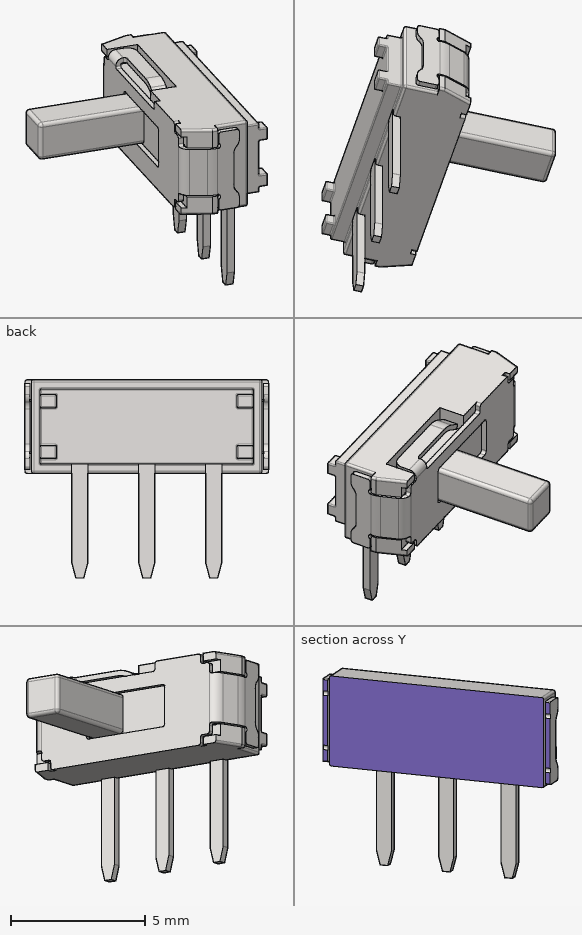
import cadquery as cq
import math


BODY_HEIGHT = 3.5
TOP = BODY_HEIGHT / 2
BODY_BACK = 2.615
SHOULDER_HALF = 4.55
SHOULDER_BACK = 1.31
SHOULDER_FRONT = 1.1
NOSE_HALF = 4.145
REAR_HALF = 4.3
BODY_FILLET = 0.09
BEYOND = 5.47
PLACE_TOLERANCE = 0.01

SHEET = 0.2
SHEET_FILLET = 0.1
FINGER_ROOT_FILLET = 0.07
PLATE_HALF = 3.85
EAR_HEIGHT = 0.3
EAR_START = 3.56
EAR_CLEARANCE = 0.08
PLATE_NOTCH_HALF = 3.44
PLATE_SHOULDER = TOP - EAR_HEIGHT - EAR_CLEARANCE
TOP_NOTCH_END = 1.35

STRAP_ANGLE = 19.5
STRAP_HALF = 0.95
STRAP_OUTER = 4.555
STRAP_FRONT_RADIUS = 0.44
STRAP_REAR_RADIUS = 1.12
STRAP_GAP = 0.055
WING_HALF = 1.6
WING_FRONT = 1.35
WING_RELIEF_DEPTH = 0.06
WING_RELIEF_LENGTH = 0.2
WING_BACK = 2.17
WING_WAIST_BACK = 1.95
WING_BEND_OUTER = 1.19
WING_BEND_INNER = 0.65

POCKET_END = 0.46
POCKET_BACK = 1.22
POCKET_DEPTH = 0.69
FINGER_ROOT_END = -2.65
FINGER_FRONT = 0.41
FINGER_BACK = 1.01
FINGER_TIP = 0.39
FINGER_BEND_START = -0.64
FINGER_BEND_RADIUS = 1.075
FINGER_BEND_ANGLE = 30.0
FINGER_CORNER_RADIUS = 0.4
FINGER_TIP_RADIUS = 0.055
FINGER_ROOT_RADIUS = 0.3
FINGER_NECK_RADIUS = 0.1

WINDOW_LENGTH = 3.6
WINDOW_HEIGHT = 1.62
WINDOW_FILLET = 0.12
LEVER_SIZE = 1.5
LEVER_CENTER = -1.0
LEVER_REACH = 3.97
LEVER_FILLET = 0.15

BLOCK_HALF = 3.97
BLOCK_TOP = 1.4
BLOCK_BACK = 3.19
FOOT_BACK = 3.53
FOOT_LENGTH = 0.6
FOOT_INNER = 0.7
FOOT_OUTER = 1.19
BLOCK_FILLET = 0.05

PIN_PITCH = 2.5
PIN_WIDTH = 0.6
PIN_TIP_WIDTH = 0.3
PIN_TAPER = 0.565
PIN_LENGTH = 3.9
PIN_BACK = 2.65
PIN_THICKNESS = 0.3


def box(x, y, z):
    """Box between two limits along each axis."""
    size = (x[1] - x[0], y[1] - y[0], z[1] - z[0])
    return cq.Workplane("XY").box(*size, centered=False).translate((x[0], y[0], z[0]))


def mirrored_x(shape):
    """The shape together with its mirror image at the other end."""
    return shape.union(shape.mirror("YZ"))


def on_arc(center, radius, degrees):
    """Point on a circle in a sketch plane."""
    angle = math.radians(degrees)
    return (center[0] + radius * math.cos(angle), center[1] + radius * math.sin(angle))


def make_housing():
    """Body block with angled front corners, end shoulders and rounded rims."""
    right = [
        (NOSE_HALF, 0),
        (SHOULDER_HALF, SHOULDER_FRONT),
        (SHOULDER_HALF, SHOULDER_BACK),
        (REAR_HALF, SHOULDER_BACK),
        (REAR_HALF, BODY_BACK),
    ]
    left = [(-x, y) for x, y in reversed(right)]
    body = cq.Workplane("XY").workplane(offset=-TOP).polyline(right + left).close().extrude(BODY_HEIGHT)
    body = body.edges("|Z and >Y").fillet(BODY_FILLET)
    rims = body.faces("<Z or >Z").edges().filter(
        lambda edge: min(abs(edge.Center().y), abs(edge.Center().y - SHOULDER_BACK)) > PLACE_TOLERANCE
    )
    return rims.fillet(BODY_FILLET)


def make_front_recess():
    """Space for the front plate; the four corner ears stay."""
    recess = box((-BEYOND, BEYOND), (0, SHEET), (-TOP, TOP))
    for side in (-1, 1):
        for level in (-1, 1):
            x = sorted((side * EAR_START, side * BEYOND))
            z = sorted((level * TOP, level * (TOP - EAR_HEIGHT)))
            recess = recess.cut(box(x, (0, SHEET), z))
    return recess


LEAN = math.radians(STRAP_ANGLE)
FRONT_BEND = (PLATE_HALF, STRAP_FRONT_RADIUS)
REAR_BEND_X = STRAP_OUTER - STRAP_REAR_RADIUS
STRAIGHT_START = on_arc(FRONT_BEND, STRAP_FRONT_RADIUS, -STRAP_ANGLE)
STRAIGHT_RUN = REAR_BEND_X + STRAP_REAR_RADIUS * math.cos(LEAN) - STRAIGHT_START[0]
REAR_BEND_Y = STRAIGHT_START[1] + STRAIGHT_RUN / math.tan(LEAN) + STRAP_REAR_RADIUS * math.sin(LEAN)
REAR_BEND = (REAR_BEND_X, REAR_BEND_Y)


def make_strap():
    """Cover strap bent round the end of the body, widening into two wings at its back."""
    front_out = STRAP_FRONT_RADIUS
    rear_out = STRAP_REAR_RADIUS
    front_in = front_out - SHEET
    rear_in = rear_out - SHEET
    mid = -(90 + STRAP_ANGLE) / 2
    band = (
        cq.Workplane("XY").workplane(offset=-WING_HALF)
        .moveTo(*on_arc(FRONT_BEND, front_out, -90))
        .threePointArc(on_arc(FRONT_BEND, front_out, mid), on_arc(FRONT_BEND, front_out, -STRAP_ANGLE))
        .lineTo(*on_arc(REAR_BEND, rear_out, -STRAP_ANGLE))
        .threePointArc(on_arc(REAR_BEND, rear_out, -STRAP_ANGLE / 2), on_arc(REAR_BEND, rear_out, 0))
        .lineTo(STRAP_OUTER, WING_BACK)
        .lineTo(STRAP_OUTER - SHEET, WING_BACK)
        .lineTo(*on_arc(REAR_BEND, rear_in, 0))
        .threePointArc(on_arc(REAR_BEND, rear_in, -STRAP_ANGLE / 2), on_arc(REAR_BEND, rear_in, -STRAP_ANGLE))
        .lineTo(*on_arc(FRONT_BEND, front_in, -STRAP_ANGLE))
        .threePointArc(on_arc(FRONT_BEND, front_in, mid), on_arc(FRONT_BEND, front_in, -90))
        .close().extrude(2 * WING_HALF)
    )
    bend_mid = ((WING_BACK + WING_WAIST_BACK) / 2, (WING_BEND_OUTER + WING_BEND_INNER) / 2)
    relief_mid = (WING_FRONT + WING_RELIEF_DEPTH, STRAP_HALF + WING_RELIEF_LENGTH / 2)
    r = SHEET_FILLET
    half = (
        cq.Workplane("YZ").moveTo(0, 0)
        .lineTo(0, STRAP_HALF)
        .lineTo(WING_FRONT, STRAP_HALF)
        .threePointArc(relief_mid, (WING_FRONT, STRAP_HALF + WING_RELIEF_LENGTH))
        .lineTo(WING_FRONT, WING_HALF - r)
        .tangentArcPoint((r, r))
        .lineTo(WING_BACK - r, WING_HALF)
        .tangentArcPoint((r, -r))
        .lineTo(WING_BACK, WING_BEND_OUTER)
        .tangentArcPoint(bend_mid, relative=False)
        .tangentArcPoint((WING_WAIST_BACK, WING_BEND_INNER), relative=False)
        .lineTo(WING_WAIST_BACK, 0)
        .close().extrude(BEYOND)
    )
    corner = (
        cq.Workplane("XZ").moveTo(PLATE_HALF, STRAP_HALF + r)
        .radiusArc((PLATE_HALF + r, STRAP_HALF), -r)
        .lineTo(PLATE_HALF, STRAP_HALF)
        .close().extrude(-FRONT_BEND[1])
    )
    strap = band.intersect(half.union(half.mirror("XY")))
    fillets = band.intersect(corner.union(corner.mirror("XY")))
    return strap.union(fillets)


def make_strap_recess():
    """Room in the body's end behind the strap."""
    depth = SHEET + STRAP_GAP
    slope_start = on_arc(FRONT_BEND, STRAP_FRONT_RADIUS - depth, -STRAP_ANGLE)
    slope_end_y = slope_start[1] + (REAR_HALF - slope_start[0]) / math.tan(LEAN)
    half = STRAP_HALF + STRAP_GAP
    return (
        cq.Workplane("XY").workplane(offset=-half)
        .moveTo(PLATE_HALF, 0)
        .lineTo(PLATE_HALF, SHEET)
        .lineTo(*slope_start)
        .lineTo(REAR_HALF, slope_end_y)
        .lineTo(REAR_HALF, SHOULDER_BACK)
        .lineTo(BEYOND, SHOULDER_BACK)
        .lineTo(BEYOND, 0)
        .close().extrude(2 * half)
    )


def round_plate_corner(plate, x, z, radius):
    """Round the plate's corner at the given place, if it has one there."""
    corner = plate.edges("|Y").filter(
        lambda edge: math.hypot(edge.Center().x - x, edge.Center().z - z) < PLACE_TOLERANCE
    )
    return corner.fillet(radius) if corner.size() else plate


def make_front_plate():
    """Front of the cover, stepped in beside the ears, notched on top and windowed for the lever."""
    plate = box((-PLATE_HALF, PLATE_HALF), (0, SHEET), (-PLATE_SHOULDER, PLATE_SHOULDER))
    plate = plate.edges("|Y").fillet(SHEET_FILLET)
    inner = box((-PLATE_NOTCH_HALF, PLATE_NOTCH_HALF), (0, SHEET), (-TOP, TOP))
    plate = plate.union(inner)
    top_notch = box((-PLATE_NOTCH_HALF, TOP_NOTCH_END), (0, SHEET), (PLATE_SHOULDER, TOP))
    plate = plate.cut(top_notch)
    root = box((-PLATE_NOTCH_HALF, FINGER_ROOT_END), (0, SHEET), (PLATE_SHOULDER, TOP - FINGER_ROOT_RADIUS))
    plate = plate.union(root)
    for x in (-PLATE_NOTCH_HALF, FINGER_ROOT_END):
        plate = round_plate_corner(plate, x, PLATE_SHOULDER, FINGER_ROOT_FILLET)
    for x in (TOP_NOTCH_END, -PLATE_NOTCH_HALF, PLATE_NOTCH_HALF):
        for z in (-PLATE_SHOULDER, PLATE_SHOULDER, -TOP, TOP):
            plate = round_plate_corner(plate, x, z, SHEET_FILLET)
    window = cq.Workplane("XZ").rect(WINDOW_LENGTH, WINDOW_HEIGHT).extrude(-SHEET)
    return plate.cut(window.edges("|Y").fillet(WINDOW_FILLET))


def make_finger():
    """Spring finger: bent back from the plate, then run along the pocket and dipping at its tip."""
    r = FINGER_ROOT_RADIUS
    inner = r - SHEET
    root_bend = (r, TOP - r)
    root = (
        cq.Workplane("YZ").workplane(offset=-PLATE_NOTCH_HALF)
        .moveTo(0, TOP - r)
        .threePointArc(on_arc(root_bend, r, 135), (r, TOP))
        .lineTo(r, TOP - SHEET)
        .threePointArc(on_arc(root_bend, inner, 135), (SHEET, TOP - r))
        .close().extrude(FINGER_ROOT_END + PLATE_NOTCH_HALF)
    )
    bend = (FINGER_BEND_START, TOP - FINGER_BEND_RADIUS)
    outer = FINGER_BEND_RADIUS
    inner = outer - SHEET
    end = 90 - FINGER_BEND_ANGLE
    mid = 90 - FINGER_BEND_ANGLE / 2
    fall = math.radians(FINGER_BEND_ANGLE)
    bend_end = on_arc(bend, outer, end)
    tip_run = FINGER_TIP - bend_end[0]
    tip_z = bend_end[1] - tip_run * math.tan(fall)
    blade = (
        cq.Workplane("XZ").moveTo(-PLATE_NOTCH_HALF, TOP)
        .lineTo(FINGER_BEND_START, TOP)
        .threePointArc(on_arc(bend, outer, mid), bend_end)
        .lineTo(FINGER_TIP, tip_z)
        .lineTo(FINGER_TIP - SHEET * math.sin(fall), tip_z - SHEET * math.cos(fall))
        .lineTo(*on_arc(bend, inner, end))
        .threePointArc(on_arc(bend, inner, mid), on_arc(bend, inner, 90))
        .lineTo(-PLATE_NOTCH_HALF, TOP - SHEET)
        .close().extrude(-FINGER_BACK)
    )
    neck = (FINGER_ROOT_END, FINGER_FRONT, TOP / 2)
    plan = box((-PLATE_NOTCH_HALF, FINGER_TIP), (FINGER_FRONT, FINGER_BACK), (0, TOP))
    plan = plan.union(box((-PLATE_NOTCH_HALF, FINGER_ROOT_END), (r, FINGER_BACK), (0, TOP)))
    plan = plan.edges(cq.selectors.NearestToPointSelector(neck)).fillet(FINGER_NECK_RADIUS)
    plan = plan.edges("|Z and <X and >Y").fillet(FINGER_CORNER_RADIUS)
    plan = plan.edges("|Z and >X").fillet(FINGER_TIP_RADIUS)
    return root.union(blade.intersect(plan))


def make_lever():
    half = LEVER_SIZE / 2
    x = (LEVER_CENTER - half, LEVER_CENTER + half)
    lever = box(x, (-LEVER_REACH, SHEET), (-half, half))
    return lever.edges("|Y or <Y").fillet(LEVER_FILLET)


def make_rear_block():
    block = box((-BLOCK_HALF, BLOCK_HALF), (POCKET_BACK, BLOCK_BACK), (-BLOCK_TOP, BLOCK_TOP))
    for z in ((FOOT_INNER, FOOT_OUTER), (-FOOT_OUTER, -FOOT_INNER)):
        foot = box((BLOCK_HALF - FOOT_LENGTH, BLOCK_HALF), (BODY_BACK, FOOT_BACK), z)
        block = block.union(mirrored_x(foot))
    return block.edges("not <Y").fillet(BLOCK_FILLET)


def fillet_block_root(shape):
    """Round the inside corner where the rear block leaves the body's back face."""
    tol = PLACE_TOLERANCE
    root = cq.selectors.BoxSelector(
        (-BLOCK_HALF - tol, BODY_BACK - tol, -BLOCK_TOP - tol),
        (BLOCK_HALF + tol, BODY_BACK + tol, BLOCK_TOP + tol),
        boundingbox=True,
    )
    return shape.edges(root).fillet(BLOCK_FILLET)


def make_pin(x):
    bottom = -TOP - PIN_LENGTH
    outline = [
        (x - PIN_WIDTH / 2, 0),
        (x - PIN_WIDTH / 2, bottom + PIN_TAPER),
        (x - PIN_TIP_WIDTH / 2, bottom),
        (x + PIN_TIP_WIDTH / 2, bottom),
        (x + PIN_WIDTH / 2, bottom + PIN_TAPER),
        (x + PIN_WIDTH / 2, 0),
    ]
    pin = cq.Workplane("XZ").polyline(outline).close().extrude(-PIN_THICKNESS)
    return pin.translate((0, PIN_BACK - PIN_THICKNESS, 0))


pocket = box((-EAR_START, POCKET_END), (0, POCKET_BACK), (TOP - POCKET_DEPTH, TOP))

housing = make_housing()
housing = housing.union(make_rear_block())
housing = fillet_block_root(housing)
housing = housing.cut(make_front_recess())
housing = housing.cut(pocket)
housing = housing.cut(mirrored_x(make_strap_recess()))

result = housing.union(make_front_plate())
result = result.union(mirrored_x(make_strap()))
result = result.union(make_finger())
result = result.union(make_lever())
for position in (-PIN_PITCH, 0, PIN_PITCH):
    result = result.union(make_pin(position))